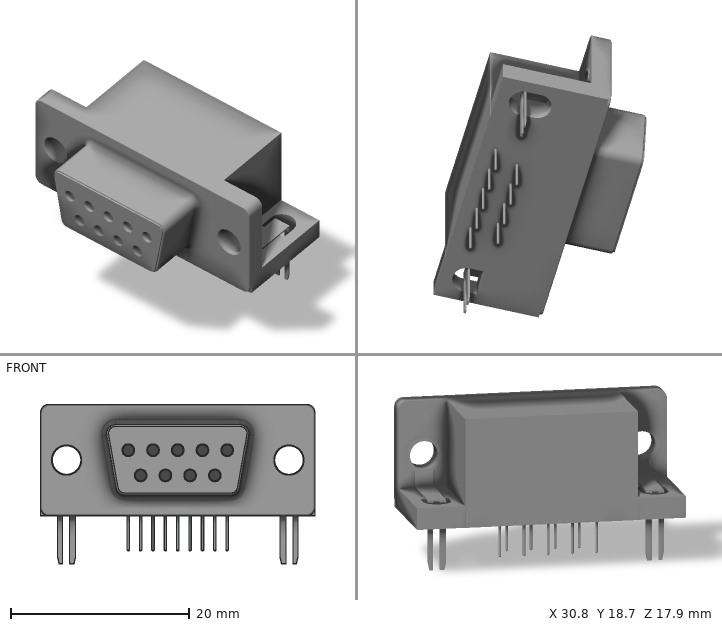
import cadquery as cq
import math


WIDTH = 30.8
BODY_HEIGHT = 12.5
PLATE_THICKNESS = 0.35
PLATE_EDGE_ROUND = 0.12
FLANGE_BACK = 2.3
BLOCK_WIDTH = 19.77
BLOCK_BACK = 12.63
WING_BACK = 12.57
WING_HEIGHT = 2.5
CORNER_RADIUS = 0.95

MOUNT_X = 12.47
MOUNT_Z = BODY_HEIGHT / 2
MOUNT_DIAMETER = 3.2
MOUNT_CHAMFER = 0.1
SLOT_FRONT = 7.82
SLOT_BACK = 9.5

SHELL_LENGTH = 5.9
SHELL_BOTTOM = 2.35
SHELL_HEIGHT = 7.9
SHELL_TOP = SHELL_BOTTOM + SHELL_HEIGHT
SHELL_TOP_WIDTH = 16.32
SHELL_SIDE_ANGLE = 10.0
SHELL_CORNER_RADIUS = 1.0
SHELL_ROOT_RADIUS = 0.55
SHELL_TIP_RADIUS = 0.15

INSULATOR_TIP = 6.1
INSULATOR_INSET = 0.22

CONTACT_PITCH = 2.77
UPPER_COUNT = 5
LOWER_COUNT = 4
UPPER_ROW_Z = 7.35
LOWER_ROW_Z = 4.53
SOCKET_DIAMETER = 1.2
SOCKET_CHAMFER = 0.108
SOCKET_DEPTH = 3.08
PIN_DIAMETER = 0.3
PIN_LENGTH = 3.95
PIN_TIP_CHAMFER = 0.1
BACK_PINS_Y = 10.85
FRONT_PINS_Y = 8.0

WASHER_DIAMETER = 4.0
WASHER_THICKNESS = 0.1
STRAP_WIDTH = 2.05
STRAP_UPRIGHT_THICKNESS = 0.25
STRAP_THICKNESS = 0.2
STRAP_TOP = WING_HEIGHT + STRAP_THICKNESS
CLIP_BACK = 9.58
LEG_THICKNESS = 0.22
LEG_LENGTH = 5.4
LEG_TAPER_LENGTH = 0.83
LEG_TAPER = 0.2
OUTER_LEG_WIDTH = 0.6
INNER_LEG_WIDTH = 0.7

PIN_OVERLAP = 0.15
EDGE_MARGIN = 0.15


def box(x_min, x_max, y_min, y_max, z_min, z_max):
    size = (x_max - x_min, y_max - y_min, z_max - z_min)
    return cq.Workplane("XY").box(*size, centered=False).translate((x_min, y_min, z_min))


def row_positions(count):
    return [(i - (count - 1) / 2) * CONTACT_PITCH for i in range(count)]


def make_body():
    half = WIDTH / 2
    flange = box(-half, half, PLATE_THICKNESS, FLANGE_BACK, 0, BODY_HEIGHT)
    flange = flange.edges("|Y and >Z").fillet(CORNER_RADIUS)
    wings = box(-half, half, PLATE_THICKNESS, WING_BACK, 0, WING_HEIGHT)
    block = box(-BLOCK_WIDTH / 2, BLOCK_WIDTH / 2, PLATE_THICKNESS, BLOCK_BACK, 0, BODY_HEIGHT)
    return flange.union(wings).union(block)


def make_d_prism(inset, length):
    """D-shaped prism standing forward from Y = 0, its sides set in from those of the shell."""
    top = SHELL_TOP_WIDTH / 2
    bottom = top - SHELL_HEIGHT * math.tan(math.radians(SHELL_SIDE_ANGLE))
    corners = [(-bottom, SHELL_BOTTOM), (bottom, SHELL_BOTTOM), (top, SHELL_TOP), (-top, SHELL_TOP)]
    outline = cq.Workplane("XZ").polyline(corners).close()
    if inset > 0:
        outline = outline.offset2D(-inset)
    return outline.extrude(length).edges("|Y").fillet(SHELL_CORNER_RADIUS - inset)


def make_front():
    """Metal plate with the D-shaped shell standing on it and the insulator inside the shell."""
    plate = box(-WIDTH / 2, WIDTH / 2, 0, PLATE_THICKNESS, 0, BODY_HEIGHT)
    plate = plate.edges("|Y").fillet(CORNER_RADIUS)
    plate = plate.faces("<Y").edges().fillet(PLATE_EDGE_ROUND)

    shell = make_d_prism(0, SHELL_LENGTH)
    shell = shell.faces("<Y").edges().fillet(SHELL_TIP_RADIUS)

    front = plate.union(shell)
    root = cq.selectors.BoxSelector(
        (-SHELL_TOP_WIDTH / 2, -EDGE_MARGIN, SHELL_BOTTOM - EDGE_MARGIN),
        (SHELL_TOP_WIDTH / 2, EDGE_MARGIN, SHELL_TOP + EDGE_MARGIN),
    )
    return front.edges(root).fillet(SHELL_ROOT_RADIUS).union(make_d_prism(INSULATOR_INSET, INSULATOR_TIP))


def make_hole(diameter, chamfer, depth, x, y, z):
    """Cutter for a hole running along +Y from (x, y, z), with a chamfered mouth."""
    radius = diameter / 2
    profile = [(0, 0), (radius + chamfer, 0), (radius, chamfer), (radius, depth), (0, depth)]
    hole = cq.Workplane("XY").polyline(profile).close().revolve(360, (0, 0), (0, 1))
    return hole.translate((x, y, z))


def make_socket(x, z):
    return make_hole(SOCKET_DIAMETER, SOCKET_CHAMFER, SOCKET_DEPTH, x, -INSULATOR_TIP, z)


def make_pin(x, y):
    pin = cq.Workplane("XY").circle(PIN_DIAMETER / 2).extrude(PIN_LENGTH + PIN_OVERLAP)
    pin = pin.faces("<Z").chamfer(PIN_TIP_CHAMFER)
    return pin.translate((x, y, -PIN_LENGTH))


def make_slot(side):
    """Wing slot: round at both ends on the -X side, square at the front on the +X side."""
    x = side * MOUNT_X
    radius = MOUNT_DIAMETER / 2
    slot = box(x - radius, x + radius, SLOT_FRONT, SLOT_BACK, 0, WING_HEIGHT)
    round_ends = [SLOT_BACK]
    if side < 0:
        round_ends.append(SLOT_FRONT)
    for y in round_ends:
        slot = slot.union(cq.Workplane("XY").center(x, y).circle(radius).extrude(WING_HEIGHT))
    return slot


def make_leg(outer_x, inner_x):
    """Clip leg whose outer_x edge tapers towards inner_x at the tip."""
    taper = math.copysign(LEG_TAPER, inner_x - outer_x)
    outline = [
        (inner_x, STRAP_TOP),
        (outer_x, STRAP_TOP),
        (outer_x, LEG_TAPER_LENGTH - LEG_LENGTH),
        (outer_x + taper, -LEG_LENGTH),
        (inner_x, -LEG_LENGTH),
    ]
    leg = cq.Workplane("XZ").polyline(outline).close().extrude(LEG_THICKNESS)
    return leg.translate((0, CLIP_BACK, 0))


def make_left_clip():
    """Washer behind the flange, strap down and along the wing, two legs through the slot."""
    washer = cq.Workplane("XZ").circle(WASHER_DIAMETER / 2).extrude(-WASHER_THICKNESS)
    washer = washer.translate((-MOUNT_X, FLANGE_BACK, MOUNT_Z))
    left = -MOUNT_X - STRAP_WIDTH / 2
    right = -MOUNT_X + STRAP_WIDTH / 2
    upright_top = MOUNT_Z - MOUNT_DIAMETER / 2
    upright_back = FLANGE_BACK + STRAP_UPRIGHT_THICKNESS
    upright = box(left, right, FLANGE_BACK, upright_back, WING_HEIGHT, upright_top)
    strap = box(left, right, FLANGE_BACK, CLIP_BACK, WING_HEIGHT, STRAP_TOP)
    clip = washer.union(upright).union(strap)
    clip = clip.union(make_leg(left, left + OUTER_LEG_WIDTH))
    return clip.union(make_leg(right, right - INNER_LEG_WIDTH))


result = make_body().union(make_front())

for side in (-1, 1):
    result = result.cut(make_slot(side))

left_clip = make_left_clip()
result = result.union(left_clip).union(left_clip.mirror("YZ"))

mount_depth = FLANGE_BACK + WASHER_THICKNESS
for side in (-1, 1):
    result = result.cut(make_hole(MOUNT_DIAMETER, MOUNT_CHAMFER, mount_depth, side * MOUNT_X, 0, MOUNT_Z))

for x in row_positions(UPPER_COUNT):
    result = result.cut(make_socket(x, UPPER_ROW_Z)).union(make_pin(x, BACK_PINS_Y))

for x in row_positions(LOWER_COUNT):
    result = result.cut(make_socket(x, LOWER_ROW_Z)).union(make_pin(x, FRONT_PINS_Y))